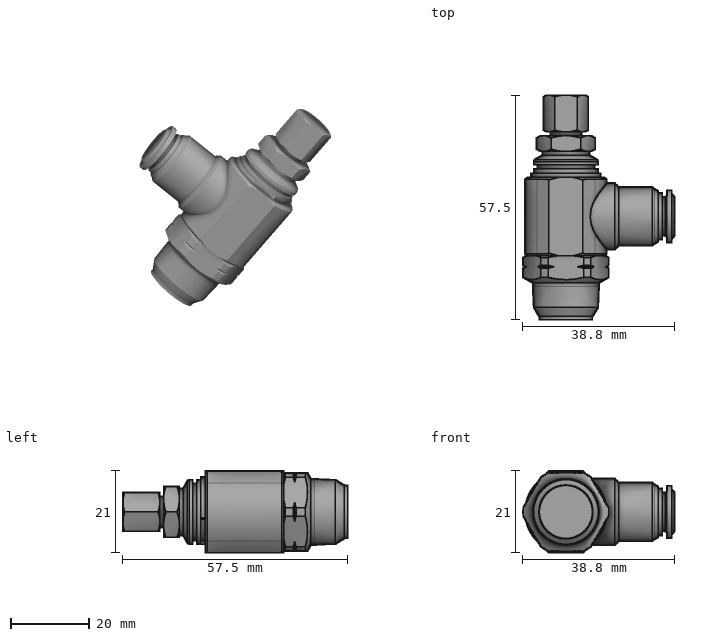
import cadquery as cq
import math


TOTAL_LENGTH = 57.5
TOTAL_WIDTH = 38.8
BODY_HEIGHT = 21.0

TIP_RADIUS = 6.8
TIP_END_Y = 0.9
CONE_START_RADIUS = 6.9
PLUG_RADIUS = 8.3
PLUG_CONE_END_Y = 3.15
PLUG_TAPER_END_Y = 8.55
COLLAR_RADIUS = 8.5

NUT_START_Y = 9.45
NUT_APOTHEM = 10.0
NUT_CORNER_RADIUS = 11.0
NUT_TOP_CHAMFER = 0.45
NUT_GROOVE_Y = 13.55
NUT_GROOVE_WIDTH = 0.75
NUT_GROOVE_DEPTH = 0.5

BODY_START_Y = 16.4
BODY_END_Y = 36.45
BODY_RADIUS = BODY_HEIGHT / 2
BODY_CHAMFER_LENGTH = 0.5
BODY_CHAMFER_DEPTH = 0.7
BODY_CORNER_CONE_RADIUS = 10.65

FLANGE_RADIUS = 8.95
FLANGE_END_Y = 37.55
FLANGE_FLAT_Z = -8.3
NOTCH_FLOOR_RADIUS = 8.15
NOTCH_FLOOR_ANGLES = (193, 244)
NOTCH_MOUTH_ANGLES = (189.5, 247)

BONNET_RADIUS = 8.3
BONNET_GROOVE_RADIUS = 7.35
BONNET_GROOVE_START_Y = 38.6
BONNET_GROOVE_END_Y = 39.6
BONNET_RIM_END_Y = 40.5
BONNET_SHOULDER_RADIUS = 8.05
BONNET_SHOULDER_Y = 41.0
BONNET_NECK_RADIUS = 6.1
BONNET_NECK_Y = 42.1

LOCK_NUT_START_Y = 43.05
LOCK_NUT_END_Y = 47.1
LOCK_NUT_APOTHEM = 13.05 / 2
STEM_RADIUS = 4
KNOB_START_Y = 48.05
KNOB_APOTHEM = 9.95 / 2

PORT_Y = 26.45
PORT_BASE_RADIUS = 8.55
PORT_BASE_END_X = 12.5
PORT_SLEEVE_RADIUS = 7.55
PORT_SLEEVE_START_X = 13.5
PORT_SLEEVE_END_X = 22.1
PORT_BEVEL_RADIUS = 7.1
PORT_BEVEL_X = 22.6
PORT_NOSE_RADIUS = 6.55
PORT_NOSE_X = 23.6
PORT_LIP_RADIUS = 6.05
PORT_LIP_END_X = 24.65
RELEASE_NECK_RADIUS = 5.0
RELEASE_NECK_FLARE_X = 25.35
RELEASE_FLARE_RADIUS = 5.25
RELEASE_RING_RADIUS = 6.7
RELEASE_RING_START_X = 25.8
RELEASE_RING_END_X = 27.1
RELEASE_FACE_RADIUS = 5.8
PORT_END_X = TOTAL_WIDTH - NUT_CORNER_RADIUS

CHAMFER_SLOPE = math.tan(math.radians(30))


def turned(radius_y_points):
    """Solid of revolution about Y from (radius, y) points, closed along the axis."""
    first_y = radius_y_points[0][1]
    last_y = radius_y_points[-1][1]
    outline = [(0, first_y)] + radius_y_points + [(0, last_y)]
    return cq.Workplane("XY").polyline(outline).close().revolve(360, (0, 0), (0, 1))


def disc(radius, start_y, end_y):
    return turned([(radius, start_y), (radius, end_y)])


def polygon_corner_radius(apothem, sides):
    return apothem / math.cos(math.pi / sides)


def hexagon(apothem, start_y, end_y):
    """Hexagonal bar along Y with flats facing +Z and -Z."""
    corner_diameter = 2 * polygon_corner_radius(apothem, 6)
    plane = cq.Workplane("XZ", origin=(0, start_y, 0))
    return plane.polygon(6, corner_diameter).extrude(start_y - end_y)


def chamfered_hexagon(apothem, start_y, end_y):
    """Hexagonal bar whose corners are turned off at 30 degrees on both ends."""
    corner_radius = polygon_corner_radius(apothem, 6)
    rise = (corner_radius - apothem) * CHAMFER_SLOPE
    envelope = turned([
        (apothem, start_y),
        (corner_radius, start_y + rise),
        (corner_radius, end_y - rise),
        (apothem, end_y),
    ])
    return hexagon(apothem, start_y, end_y).intersect(envelope)


def make_plug():
    return turned([
        (TIP_RADIUS, 0),
        (TIP_RADIUS, TIP_END_Y),
        (CONE_START_RADIUS, TIP_END_Y),
        (PLUG_RADIUS, PLUG_CONE_END_Y),
        (COLLAR_RADIUS, PLUG_TAPER_END_Y),
        (COLLAR_RADIUS, NUT_START_Y),
    ])


def make_lower_nut():
    """Hexagon with turned corners, a conical underside and a V groove around the corners."""
    lower_rise = (NUT_CORNER_RADIUS - COLLAR_RADIUS) * CHAMFER_SLOPE
    groove_bottom_radius = NUT_CORNER_RADIUS - NUT_GROOVE_DEPTH
    envelope = turned([
        (COLLAR_RADIUS, NUT_START_Y),
        (NUT_CORNER_RADIUS, NUT_START_Y + lower_rise),
        (NUT_CORNER_RADIUS, NUT_GROOVE_Y - NUT_GROOVE_WIDTH / 2),
        (groove_bottom_radius, NUT_GROOVE_Y),
        (NUT_CORNER_RADIUS, NUT_GROOVE_Y + NUT_GROOVE_WIDTH / 2),
        (NUT_CORNER_RADIUS, BODY_START_Y - NUT_TOP_CHAMFER),
        (NUT_CORNER_RADIUS - NUT_TOP_CHAMFER / CHAMFER_SLOPE, BODY_START_Y),
    ])
    return hexagon(NUT_APOTHEM, NUT_START_Y, BODY_START_Y).intersect(envelope)


def body_section(inset):
    """Round section carrying flats on top and bottom with tangent 45 degree facets.

    The round sides and the facets move inward by the inset; the flats stay in place.
    """
    radius = BODY_RADIUS - inset
    tangent = radius * math.sqrt(0.5)
    half_flat = radius * math.sqrt(2) - BODY_RADIUS
    return (
        cq.Sketch()
        .segment((-half_flat, BODY_RADIUS), (half_flat, BODY_RADIUS))
        .segment((tangent, tangent))
        .arc((tangent, tangent), (radius, 0), (tangent, -tangent))
        .segment((tangent, -tangent), (half_flat, -BODY_RADIUS))
        .segment((-half_flat, -BODY_RADIUS))
        .segment((-tangent, -tangent))
        .arc((-tangent, -tangent), (-radius, 0), (-tangent, tangent))
        .segment((-tangent, tangent), (-half_flat, BODY_RADIUS))
        .assemble()
    )


def make_body():
    """Body bar with its round sides and facets chamfered and its flat corners turned off."""
    straight_start = BODY_START_Y + BODY_CHAMFER_LENGTH
    straight_end = BODY_END_Y - BODY_CHAMFER_LENGTH

    def plane_at(y):
        return cq.Plane(origin=(0, y, 0), xDir=(1, 0, 0), normal=(0, -1, 0))

    full = body_section(0)
    reduced = body_section(BODY_CHAMFER_DEPTH)
    body = cq.Workplane(plane_at(straight_end)).placeSketch(full).extrude(straight_end - straight_start)
    for inner_y, end_y in ((straight_start, BODY_START_Y), (straight_end, BODY_END_Y)):
        step = inner_y - end_y
        tip = (
            cq.Workplane(plane_at(inner_y))
            .placeSketch(full, reduced.moved(cq.Location(cq.Vector(0, 0, step))))
            .loft(ruled=True)
        )
        body = body.union(tip)

    corner_radius = polygon_corner_radius(BODY_RADIUS, 8)
    rise = corner_radius - BODY_CORNER_CONE_RADIUS
    envelope = turned([
        (BODY_CORNER_CONE_RADIUS, BODY_START_Y),
        (corner_radius, BODY_START_Y + rise),
        (corner_radius, BODY_END_Y - rise),
        (BODY_CORNER_CONE_RADIUS, BODY_END_Y),
    ])
    return body.intersect(envelope)


def polar_point(radius, degrees):
    angle = math.radians(degrees)
    return (radius * math.cos(angle), radius * math.sin(angle))


def make_flange():
    """Locking flange with a flat underside and a flared notch on the side away from the port."""
    flange = disc(FLANGE_RADIUS, BODY_END_Y, FLANGE_END_Y)
    thickness = FLANGE_END_Y - BODY_END_Y
    below_flat = cq.Workplane(origin=(0, BODY_END_Y, FLANGE_FLAT_Z - FLANGE_RADIUS)).box(
        2 * FLANGE_RADIUS, thickness, FLANGE_RADIUS, centered=(True, False, False)
    )

    floor_start, floor_end = NOTCH_FLOOR_ANGLES
    mouth_start, mouth_end = NOTCH_MOUTH_ANGLES
    wedge_points = [
        (0, 0),
        polar_point(NOTCH_FLOOR_RADIUS, floor_start),
        polar_point(FLANGE_RADIUS, mouth_start),
        polar_point(2 * FLANGE_RADIUS, (mouth_start + mouth_end) / 2),
        polar_point(FLANGE_RADIUS, mouth_end),
        polar_point(NOTCH_FLOOR_RADIUS, floor_end),
    ]
    plane = cq.Workplane("XZ", origin=(0, BODY_END_Y, 0))
    wedge = plane.polyline(wedge_points).close().extrude(-thickness)
    notch = wedge.cut(disc(NOTCH_FLOOR_RADIUS, BODY_END_Y, FLANGE_END_Y))
    return flange.cut(below_flat).cut(notch)


def make_bonnet():
    return turned([
        (BONNET_RADIUS, FLANGE_END_Y),
        (BONNET_RADIUS, BONNET_GROOVE_START_Y),
        (BONNET_GROOVE_RADIUS, BONNET_GROOVE_START_Y),
        (BONNET_GROOVE_RADIUS, BONNET_GROOVE_END_Y),
        (BONNET_RADIUS, BONNET_GROOVE_END_Y),
        (BONNET_RADIUS, BONNET_RIM_END_Y),
        (BONNET_SHOULDER_RADIUS, BONNET_SHOULDER_Y),
        (BONNET_NECK_RADIUS, BONNET_NECK_Y),
        (BONNET_NECK_RADIUS, LOCK_NUT_START_Y),
    ])


def make_port():
    """Push-in port turned about an axis along +X, ending in the release ring."""
    outline = [
        (0, 0),
        (0, PORT_BASE_RADIUS),
        (PORT_BASE_END_X, PORT_BASE_RADIUS),
        (PORT_SLEEVE_START_X, PORT_SLEEVE_RADIUS),
        (PORT_SLEEVE_END_X, PORT_SLEEVE_RADIUS),
        (PORT_BEVEL_X, PORT_BEVEL_RADIUS),
        (PORT_NOSE_X, PORT_NOSE_RADIUS),
        (PORT_NOSE_X, PORT_LIP_RADIUS),
        (PORT_LIP_END_X, PORT_LIP_RADIUS),
        (PORT_LIP_END_X, RELEASE_NECK_RADIUS),
        (RELEASE_NECK_FLARE_X, RELEASE_NECK_RADIUS),
        (RELEASE_RING_START_X, RELEASE_FLARE_RADIUS),
        (RELEASE_RING_START_X, RELEASE_RING_RADIUS),
        (RELEASE_RING_END_X, RELEASE_RING_RADIUS),
        (RELEASE_RING_END_X, RELEASE_FACE_RADIUS),
        (PORT_END_X, RELEASE_NECK_RADIUS),
        (PORT_END_X, 0),
    ]
    port = cq.Workplane("XY").polyline(outline).close().revolve(360, (0, 0), (1, 0))
    return port.translate((0, PORT_Y, 0))


result = (
    make_plug()
    .union(make_lower_nut())
    .union(make_body())
    .union(make_flange())
    .union(make_bonnet())
    .union(chamfered_hexagon(LOCK_NUT_APOTHEM, LOCK_NUT_START_Y, LOCK_NUT_END_Y))
    .union(disc(STEM_RADIUS, LOCK_NUT_END_Y, KNOB_START_Y))
    .union(chamfered_hexagon(KNOB_APOTHEM, KNOB_START_Y, TOTAL_LENGTH))
    .union(make_port())
)